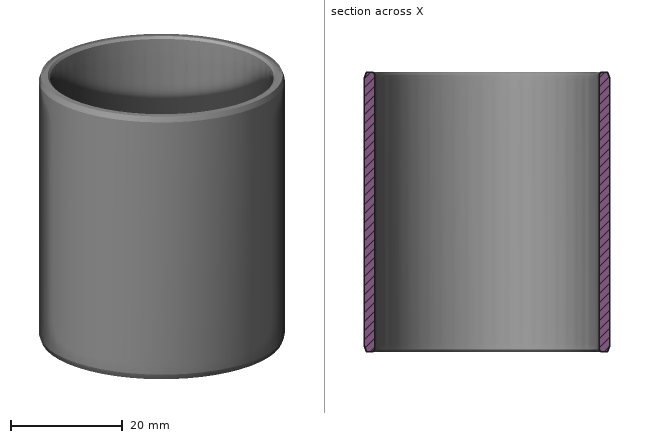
import cadquery as cq
import math

length = 50.0
outer_diameter = 44.0
bore_diameter = 40.05
outer_chamfer_height = 1.0
outer_chamfer_angle = 20.0
bore_chamfer = 0.4

outer_radius = outer_diameter / 2
bore_radius = bore_diameter / 2
outer_chamfer_depth = outer_chamfer_height * math.tan(math.radians(outer_chamfer_angle))

end_outer_radius = outer_radius - outer_chamfer_depth
end_bore_radius = bore_radius + bore_chamfer

wall_section = (
    cq.Workplane("XZ")
    .moveTo(end_bore_radius, 0)
    .lineTo(end_outer_radius, 0)
    .lineTo(outer_radius, outer_chamfer_height)
    .lineTo(outer_radius, length - outer_chamfer_height)
    .lineTo(end_outer_radius, length)
    .lineTo(end_bore_radius, length)
    .lineTo(bore_radius, length - bore_chamfer)
    .lineTo(bore_radius, bore_chamfer)
    .close()
)

result = wall_section.revolve(360, (0, 0, 0), (0, 1, 0))